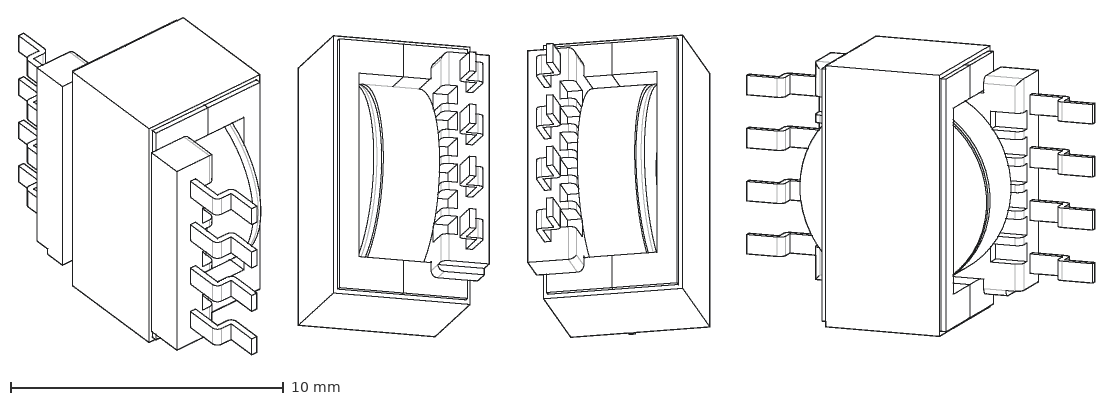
import cadquery as cq


CORE_WIDTH = 4.87
CORE_HEIGHT = 9.49
CORE_HALF_DEPTH = 2.45
WINDOW_HALF_HEIGHT = 3.5
WINDOW_HALF_DEPTH = 1.7
POST_RADIUS = 1.75

TAPE_WIDTH = 4.46
TAPE_THICKNESS = 0.16

SPOOL_HALF_DEPTH = 1.5
BARREL_WALL = 0.25
COIL_RADIUS = 3.66
FLANGE_BOTTOM = 1.14
EDGE_ROUND = 0.25

RAIL_TOP = -1.02
RAIL_BOTTOM = -2.8
RAIL_INNER_X = 2.59
RAIL_OUTER_X = 4.07
RAIL_LENGTH = 8.2

SLOT_WIDTH = 0.69
SLOT_OFFSET = 0.5
SLOT_DEPTH = 0.55
SLOT_LENGTH = 1.22
NOTCH_WIDTH = 0.61
NOTCH_HEIGHT = 0.25

PINS_PER_SIDE = 4
PIN_PITCH = 2.0
PIN_WIDTH = 0.73
PIN_THICKNESS = 0.25
PIN_ROOT_TOP = -1.91
PIN_TIP_TOP = -1.22
PIN_RISER_OUTER_X = 5.59
PIN_TIP_X = 6.78

BARREL_RADIUS = POST_RADIUS + BARREL_WALL
PIN_POSITIONS = [(i - (PINS_PER_SIDE - 1) / 2) * PIN_PITCH for i in range(PINS_PER_SIDE)]


def block(x0, x1, y0, y1, z0, z1):
    """Box between two opposite corners."""
    return cq.Workplane("XY").box(x1 - x0, y1 - y0, z1 - z0, centered=False).translate((x0, y0, z0))


def centred_block(width, y0, y1, height):
    """Box centred on the Y axis, from y0 to y1."""
    return block(-width / 2, width / 2, y0, y1, -height / 2, height / 2)


def disc(radius, y0, y1):
    """Round disc on the Y axis, from y0 to y1."""
    return cq.Workplane("XZ").circle(radius).extrude(y0 - y1).translate((0, y0, 0))


def make_core_half(side):
    """Core half on the +Y (side = 1) or -Y (side = -1) side of the parting plane."""
    half = centred_block(CORE_WIDTH, 0, CORE_HALF_DEPTH, CORE_HEIGHT)
    window = centred_block(CORE_WIDTH, 0, WINDOW_HALF_DEPTH, 2 * WINDOW_HALF_HEIGHT)
    window = window.union(disc(COIL_RADIUS, 0, WINDOW_HALF_DEPTH))
    half = half.cut(window).union(disc(POST_RADIUS, 0, WINDOW_HALF_DEPTH))
    return half if side > 0 else half.mirror("XZ")


def make_tape():
    """Rectangular sleeve that fits closely around the core pair."""
    outer_depth = CORE_HALF_DEPTH + TAPE_THICKNESS
    outer = centred_block(TAPE_WIDTH, -outer_depth, outer_depth, CORE_HEIGHT + 2 * TAPE_THICKNESS)
    return outer.cut(centred_block(TAPE_WIDTH, -CORE_HALF_DEPTH, CORE_HALF_DEPTH, CORE_HEIGHT))


def make_winding():
    """Thick ring of wire between the bobbin flange and the rails."""
    ring = disc(COIL_RADIUS, RAIL_TOP, FLANGE_BOTTOM)
    return ring.cut(disc(BARREL_RADIUS, RAIL_TOP, FLANGE_BOTTOM))


def make_spool():
    """Barrel with a round flange on top and a rectangular plate below, bored for the core post."""
    flange = disc(COIL_RADIUS, FLANGE_BOTTOM, SPOOL_HALF_DEPTH).faces("<Y").edges().fillet(EDGE_ROUND)
    barrel = disc(BARREL_RADIUS, -SPOOL_HALF_DEPTH, SPOOL_HALF_DEPTH)
    plate = centred_block(2 * RAIL_INNER_X, -SPOOL_HALF_DEPTH, RAIL_TOP, 2 * WINDOW_HALF_HEIGHT)
    spool = flange.union(barrel).union(plate)
    return spool.cut(disc(POST_RADIUS, -SPOOL_HALF_DEPTH, SPOOL_HALF_DEPTH))


def slot_positions():
    """Z centres of the slots: one on each side of every pin, none beyond the end pins."""
    half_span = max(PIN_POSITIONS)
    candidates = [z + side * SLOT_OFFSET for z in PIN_POSITIONS for side in (-1, 1)]
    return [z for z in candidates if abs(z) < half_span]


def make_rail():
    """Rail on the +X side, rounded along its outer and end top edges and slotted for the wires."""
    rail = block(RAIL_INNER_X, RAIL_OUTER_X, RAIL_BOTTOM, RAIL_TOP, -RAIL_LENGTH / 2, RAIL_LENGTH / 2)
    rail = rail.faces(">Y").edges(">X or >Z or <Z").fillet(EDGE_ROUND)
    for z in slot_positions():
        rail = rail.cut(
            block(
                RAIL_OUTER_X - SLOT_LENGTH,
                RAIL_OUTER_X,
                RAIL_TOP - SLOT_DEPTH,
                RAIL_TOP,
                z - SLOT_WIDTH / 2,
                z + SLOT_WIDTH / 2,
            )
        )
    return rail


def make_pin(z):
    """Flat pin with two bends on the +X side; each bend is rounded outside and sharp inside."""
    root_bottom = PIN_ROOT_TOP - PIN_THICKNESS
    tip_bottom = PIN_TIP_TOP - PIN_THICKNESS
    riser_inner_x = PIN_RISER_OUTER_X - PIN_THICKNESS
    return (
        cq.Workplane("XY", origin=(0, 0, z - PIN_WIDTH / 2))
        .moveTo(RAIL_OUTER_X, root_bottom)
        .lineTo(riser_inner_x, root_bottom)
        .radiusArc((PIN_RISER_OUTER_X, PIN_ROOT_TOP), -PIN_THICKNESS)
        .lineTo(PIN_RISER_OUTER_X, tip_bottom)
        .lineTo(PIN_TIP_X, tip_bottom)
        .lineTo(PIN_TIP_X, PIN_TIP_TOP)
        .lineTo(PIN_RISER_OUTER_X, PIN_TIP_TOP)
        .radiusArc((riser_inner_x, tip_bottom), -PIN_THICKNESS)
        .lineTo(riser_inner_x, PIN_ROOT_TOP)
        .lineTo(RAIL_OUTER_X, PIN_ROOT_TOP)
        .close()
        .extrude(PIN_WIDTH)
    )


def make_pin_one_notch():
    """Block removed from the lower outer corner of the -X rail."""
    return block(
        -RAIL_OUTER_X,
        -RAIL_OUTER_X + NOTCH_WIDTH,
        RAIL_BOTTOM,
        RAIL_TOP,
        -RAIL_LENGTH / 2,
        -RAIL_LENGTH / 2 + NOTCH_HEIGHT,
    )


def make_bobbin():
    """Spool with its two rails and their moulded-in pins, as one solid."""
    terminal_row = make_rail()
    for z in PIN_POSITIONS:
        terminal_row = terminal_row.union(make_pin(z))
    bobbin = make_spool().union(terminal_row).union(terminal_row.mirror("YZ"))
    return bobbin.cut(make_pin_one_notch())


core_halves = [make_core_half(side) for side in (1, -1)]
tape = make_tape()
winding = make_winding()
bobbin = make_bobbin()

result = cq.Compound.makeCompound(
    [*(half.val() for half in core_halves), tape.val(), winding.val(), bobbin.val()]
)